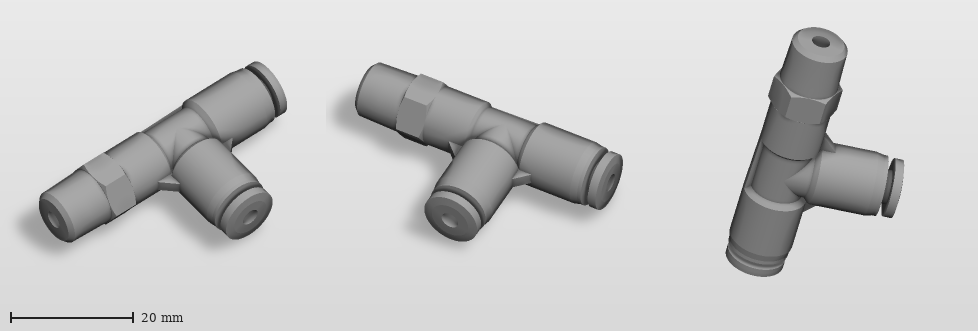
import cadquery as cq
import math


arm_length = 19.4
socket_radius = 5.3
socket_nose_radius = 5.05
nose_taper_start = 4.75
nose_taper_end = 3.55
nose_rim = 2.9
nose_face = 2.75
nose_face_radius = 3.9
stem_radius = 2.85
disc_radius = 4.85
disc_back = 1.7
disc_rim = 0.25
disc_face_radius = 3.33

neck_radius = 4.4
bore_radius = 1.55
web_thickness = 2.02
gusset_leg = 12.75

body_radius = 5.05
hex_start = 12.5
hex_length = 4.95
hex_across_flats = 10.02
hex_chamfer_angle = 30
male_length = 25.55
thread_root_radius = 4.9
thread_tip_radius = 4.67
thread_end_radius = 3.9

hex_end = hex_start + hex_length
hex_corner_radius = hex_across_flats / math.sqrt(3)


def turned_about_y(profile):
    """Solid of revolution about Y from (radius, y) points that start and end on the axis."""
    return cq.Workplane("XY").polyline(profile).close().revolve(360, (0, 0, 0), (0, 1, 0))


def push_in_arm():
    """Arm along +Y: 45 degree neck, sleeve, tapered nose and release collet."""
    return turned_about_y([
        (0, 0),
        (neck_radius, 0),
        (neck_radius, neck_radius),
        (socket_radius, socket_radius),
        (socket_radius, arm_length - nose_taper_start),
        (socket_nose_radius, arm_length - nose_taper_end),
        (socket_nose_radius, arm_length - nose_rim),
        (nose_face_radius, arm_length - nose_face),
        (stem_radius, arm_length - nose_face),
        (stem_radius, arm_length - disc_back),
        (disc_radius, arm_length - disc_back),
        (disc_radius, arm_length - disc_rim),
        (disc_face_radius, arm_length),
        (0, arm_length),
    ])


def male_arm():
    """Arm along -Y: neck, plain body and tapered thread envelope with a chamfered tip."""
    tip_chamfer = thread_tip_radius - thread_end_radius
    return turned_about_y([
        (0, 0),
        (neck_radius, 0),
        (neck_radius, -neck_radius),
        (body_radius, -body_radius),
        (body_radius, -hex_start),
        (thread_root_radius, -hex_start),
        (thread_root_radius, -hex_end),
        (thread_tip_radius, tip_chamfer - male_length),
        (thread_end_radius, -male_length),
        (0, -male_length),
    ])


def wrench_hexagon():
    """Hexagon with corners on the X axis, its corners turned off at both ends."""
    hexagon = (
        cq.Workplane("XZ", origin=(0, -hex_start, 0))
        .polygon(6, 2 * hex_corner_radius)
        .extrude(hex_length)
    )
    flat_radius = hex_across_flats / 2
    chamfer_depth = (hex_corner_radius - flat_radius) * math.tan(math.radians(hex_chamfer_angle))
    turned_envelope = turned_about_y([
        (0, -hex_start),
        (flat_radius, -hex_start),
        (hex_corner_radius, -hex_start - chamfer_depth),
        (hex_corner_radius, chamfer_depth - hex_end),
        (flat_radius, -hex_end),
        (0, -hex_end),
    ])
    return hexagon.intersect(turned_envelope)


def web_plate(outline):
    """Plate of web thickness, centred on the plane of the two axes."""
    return cq.Workplane("XY").polyline(outline).close().extrude(web_thickness / 2, both=True)


def back_rib():
    """Rib bridging the neck on the -X side, its outer face tapering from sleeve to body."""
    tapered_core = turned_about_y([
        (0, socket_radius),
        (socket_radius, socket_radius),
        (body_radius, -body_radius),
        (0, -body_radius),
    ])
    rib_slab = web_plate([
        (0, socket_radius),
        (-socket_radius, socket_radius),
        (-socket_radius, -body_radius),
        (0, -body_radius),
    ])
    return tapered_core.intersect(rib_slab)


def axis_bore(plane, start, end):
    """Round passage along the normal of the plane, between two distances from the centre."""
    return cq.Workplane(plane).workplane(offset=start).circle(bore_radius).extrude(end - start)


run_arm = push_in_arm()
branch_arm = push_in_arm().rotate((0, 0, 0), (0, 0, 1), -90)
gussets = web_plate([(0, gusset_leg), (gusset_leg, 0), (0, -gusset_leg)])

result = (
    run_arm
    .union(branch_arm)
    .union(male_arm())
    .union(wrench_hexagon())
    .union(gussets)
    .union(back_rib())
    .cut(axis_bore("ZX", -male_length, arm_length))
    .cut(axis_bore("YZ", 0, arm_length))
)